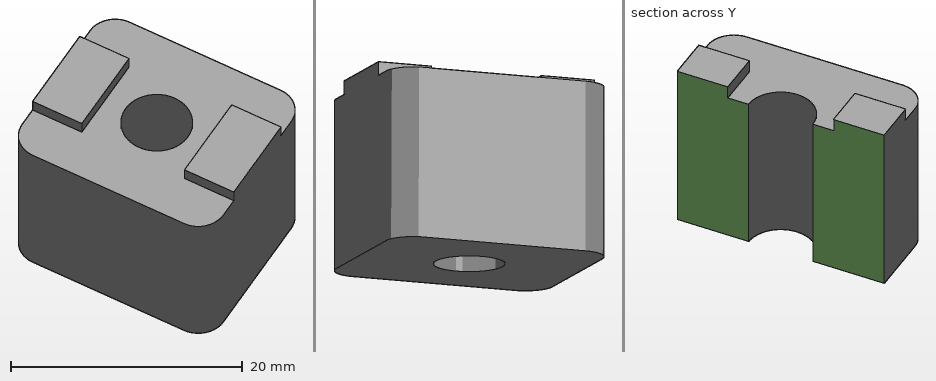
import cadquery as cq

length = 20.0
width = 16.8
total_height = 16.2
pad_height = 1.2
body_height = total_height - pad_height
corner_radius = 2.5

hole_diameter = 6.2

pad_length = 4.9
pad_width = 8.2


def make_body():
    """Block with rounded vertical edges, standing on Z = 0."""
    block = cq.Workplane("XY").box(length, width, body_height, centered=(True, True, False))
    return block.edges("|Z").fillet(corner_radius)


def make_pads():
    """Pair of pads on top of the block, one at each X end."""
    pad_center = (length - pad_length) / 2
    return (
        cq.Workplane("XY", origin=(0, 0, body_height))
        .pushPoints([(-pad_center, 0), (pad_center, 0)])
        .rect(pad_length, pad_width)
        .extrude(pad_height)
    )


def make_hole():
    """Cylinder that drills the block from top to bottom."""
    return cq.Workplane("XY").circle(hole_diameter / 2).extrude(body_height)


result = make_body().union(make_pads()).cut(make_hole())